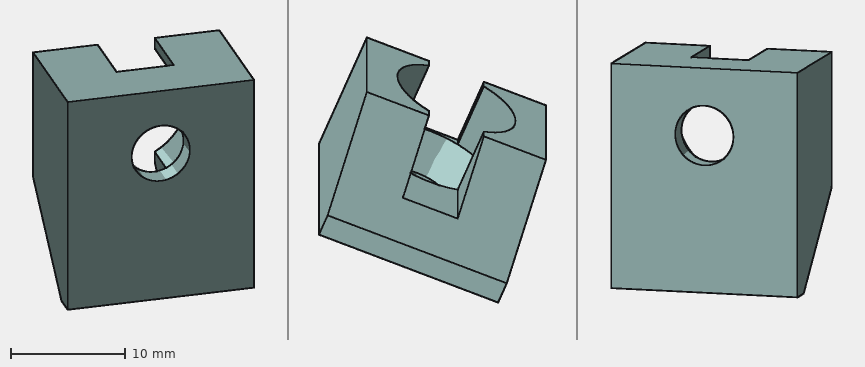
import cadquery as cq

length_x = 11.0
width_y = 17.0
height_z = 20.0
foot_length = 2.0
slope_height = 8.0

slot_width = 5.2
slot_depth = 6.0

screw_z = 14.0
hole_diameter = 5.3
head_diameter = 11.2
head_depth = slot_depth
countersink_depth = (head_diameter - hole_diameter) / 2


def make_block():
    """Side profile in XZ, extruded symmetrically across Y."""
    profile = [
        (0, slope_height),
        (0, height_z),
        (length_x, height_z),
        (length_x, 0),
        (length_x - foot_length, 0),
    ]
    return cq.Workplane("XZ").polyline(profile).close().extrude(width_y / 2, both=True)


def make_slot():
    """Full-height slot through the middle of the -X side."""
    return cq.Workplane("XY").box(slot_depth, slot_width, height_z, centered=(False, True, False))


def make_screw_hole():
    """Head recess, cone and through hole as one revolved cutter about the X direction."""
    cone_end = head_depth + countersink_depth
    profile = [
        (0, 0),
        (0, head_diameter / 2),
        (head_depth, head_diameter / 2),
        (cone_end, hole_diameter / 2),
        (length_x, hole_diameter / 2),
        (length_x, 0),
    ]
    cutter = cq.Workplane("XY").polyline(profile).close().revolve(360, (0, 0, 0), (1, 0, 0))
    return cutter.translate((0, 0, screw_z))


result = make_block().cut(make_slot()).cut(make_screw_hole())